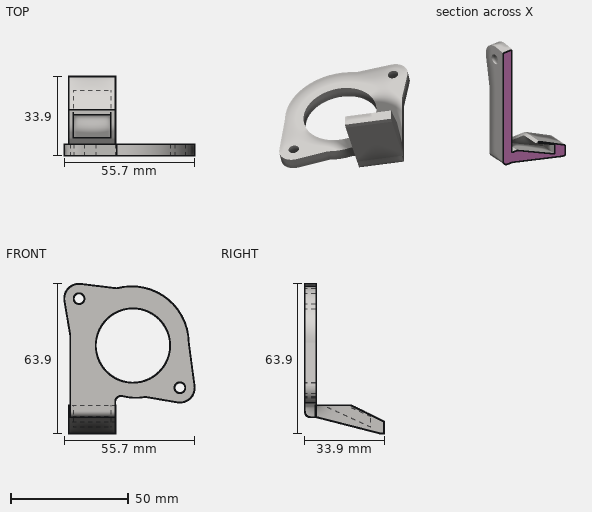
import cadquery as cq
import math


overall_height = 63.89

plate_thickness = 5.0
bore_diameter = 31.6
screw_hole_diameter = 4.5
ear_radius = 6.365
left_ear = (-23.0, 20.0)
right_ear = (20.0, -18.0)
crown_center = (-0.55, 0.9)
crown_radius = 24.4
belly_center = (1.25, -0.1)
belly_radius = 22.25
crown_left_x = -6.9
crown_right_z = 1.2
belly_right_x = 5.3
stem_left_x = -26.8
stem_right_x = -7.55
stem_shoulder_z = 4.45
neck_fillet = 2.5
toe_fillet = 2.5

foot_left_x = -27.4
foot_right_x = -7.4
foot_depth = 33.87
foot_height = 5.2
sole_z = -30.6
foot_top_z = sole_z + foot_height
foot_bottom_z = left_ear[1] + ear_radius - overall_height
crest_y = 19.65
tip_height = 5.1
tip_top_z = foot_bottom_z + tip_height
tip_flat = 1.8
root_overlap = 0.45

slot_side_wall = 2.0
slot_front_y = 7.7
slot_back_y = 17.5
slot_end_wall = 6.0
slot_angle = 24.5


def circle_point_at_x(center, radius, x, side):
    """Point of a circle at x; side is +1 for the upper half, -1 for the lower."""
    return (x, center[1] + side * math.sqrt(radius**2 - (x - center[0]) ** 2))


def circle_point_right(center, radius, z):
    """Point of the right half of a circle at height z."""
    return (center[0] + math.sqrt(radius**2 - (z - center[1]) ** 2), z)


def middle_of_arc(center, radius, start, end):
    """Point of the minor arc halfway between two points of a circle."""
    dx = (start[0] + end[0]) / 2 - center[0]
    dz = (start[1] + end[1]) / 2 - center[1]
    stretch = radius / math.hypot(dx, dz)
    return (center[0] + dx * stretch, center[1] + dz * stretch)


def ear_tangent(ear, point, side):
    """Where a line from the point touches the ear; side picks one of the two tangents."""
    dx = point[0] - ear[0]
    dz = point[1] - ear[1]
    angle = math.atan2(dz, dx) + side * math.acos(ear_radius / math.hypot(dx, dz))
    return (ear[0] + ear_radius * math.cos(angle), ear[1] + ear_radius * math.sin(angle))


def ear_outermost(ear):
    """Point of the ear farthest from the bore."""
    stretch = 1 + ear_radius / math.hypot(*ear)
    return (ear[0] * stretch, ear[1] * stretch)


def make_plate():
    """Bored plate with two ears and a stem, rounded along its lower front edge."""
    shoulder = (stem_left_x, stem_shoulder_z)
    crown_left = circle_point_at_x(crown_center, crown_radius, crown_left_x, 1)
    crown_right = circle_point_right(crown_center, crown_radius, crown_right_z)
    belly_right = circle_point_at_x(belly_center, belly_radius, belly_right_x, -1)
    neck = circle_point_at_x(belly_center, belly_radius, stem_right_x, -1)

    plate = (
        cq.Workplane("XZ")
        .moveTo(stem_left_x, sole_z)
        .lineTo(*shoulder)
        .lineTo(*ear_tangent(left_ear, shoulder, -1))
        .threePointArc(ear_outermost(left_ear), ear_tangent(left_ear, crown_left, 1))
        .lineTo(*crown_left)
        .threePointArc(middle_of_arc(crown_center, crown_radius, crown_left, crown_right), crown_right)
        .lineTo(*ear_tangent(right_ear, crown_right, -1))
        .threePointArc(ear_outermost(right_ear), ear_tangent(right_ear, belly_right, 1))
        .lineTo(*belly_right)
        .threePointArc(middle_of_arc(belly_center, belly_radius, belly_right, neck), neck)
        .lineTo(stem_right_x, sole_z)
        .close()
        .extrude(-plate_thickness)
    )
    neck_edge = cq.selectors.NearestToPointSelector((neck[0], plate_thickness / 2, neck[1]))
    plate = plate.edges(neck_edge).fillet(neck_fillet)
    plate = plate.faces("<Z").edges("<Y").fillet(toe_fillet)
    bore = cq.Workplane("XZ").circle(bore_diameter / 2).extrude(-plate_thickness)
    screw_holes = (
        cq.Workplane("XZ")
        .pushPoints([left_ear, right_ear])
        .circle(screw_hole_diameter / 2)
        .extrude(-plate_thickness)
    )
    return plate.cut(bore).cut(screw_holes)


def make_foot():
    """Wedge-shaped foot whose root narrows to the width of the stem inside the plate."""
    wedge = (
        cq.Workplane("YZ", origin=(foot_left_x, 0, 0))
        .moveTo(plate_thickness, foot_top_z)
        .lineTo(crest_y, foot_top_z)
        .lineTo(foot_depth, tip_top_z)
        .lineTo(foot_depth, foot_bottom_z)
        .lineTo(foot_depth - tip_flat, foot_bottom_z)
        .lineTo(plate_thickness, sole_z)
        .close()
        .extrude(foot_right_x - foot_left_x)
    )
    root = (
        cq.Workplane("XY", origin=(0, 0, sole_z))
        .moveTo(foot_left_x, plate_thickness)
        .lineTo(stem_left_x, plate_thickness - root_overlap)
        .lineTo(stem_right_x, plate_thickness - root_overlap)
        .lineTo(foot_right_x, plate_thickness)
        .close()
        .extrude(foot_height)
    )
    return wedge.union(root)


def make_slot():
    """Blind slot that slopes down under the crest of the foot, with parallel floor and ceiling."""
    slope = math.tan(math.radians(slot_angle))
    end_y = foot_depth - slot_end_wall
    floor_end_z = foot_top_z - slope * (end_y - slot_front_y)
    ceiling_end_z = foot_top_z - slope * (end_y - slot_back_y)
    return (
        cq.Workplane("YZ", origin=(foot_left_x + slot_side_wall, 0, 0))
        .moveTo(slot_front_y, foot_top_z)
        .lineTo(slot_back_y, foot_top_z)
        .lineTo(end_y, ceiling_end_z)
        .lineTo(end_y, floor_end_z)
        .close()
        .extrude(foot_right_x - foot_left_x - 2 * slot_side_wall)
    )


result = make_plate().union(make_foot()).cut(make_slot())